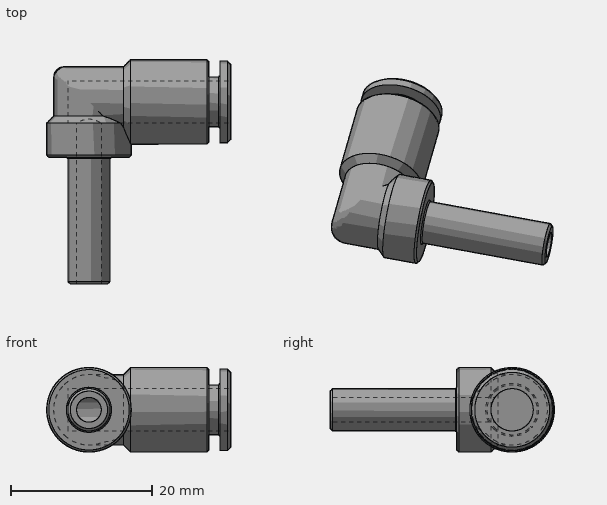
import cadquery as cq


elbow_radius = 5.0
elbow_corner_fillet = 1.5

body_radius = 6.0
shoulder_length = body_radius - elbow_radius
body_edge_chamfer = 0.3

socket_shoulder = 4.9
socket_end = 17.0
neck_radius = 3.55
root_chamfer = 0.2
ring_start = 18.55
ring_end = 20.1
ring_radius = 5.8
ring_chamfer = 0.5
socket_bore_radius = 3.0

collar_shoulder = 2.0
collar_end = 7.85
stem_radius = 3.0
stem_end = 25.8
stem_end_chamfer = 0.35
stem_bore_radius = 1.75


def revolve_about_x(outline):
    """Solid of revolution from (distance along X, radius) points."""
    profile = [(outline[0][0], 0)] + outline + [(outline[-1][0], 0)]
    return cq.Workplane("XY").polyline(profile).close().revolve(360, (0, 0, 0), (1, 0, 0))


def turn_to_stem(solid):
    """Swing a solid built along +X onto the -Y stem axis."""
    return solid.rotate((0, 0, 0), (0, 0, 1), -90)


def round_bar(radius, start, end):
    """Plain cylinder along X."""
    return revolve_about_x([(start, radius), (end, radius)])


def outer_corner(radius):
    """Outside of the mitre: the part common to both arms where X < 0 and Y > 0."""
    socket_quarter = round_bar(radius, -radius, 0)
    stem_quarter = turn_to_stem(socket_quarter)
    return socket_quarter.intersect(stem_quarter)


def shouldered_body(start, end):
    """Cone up from the elbow, then a cylinder with a chamfered end."""
    return [
        (start, elbow_radius),
        (start + shoulder_length, body_radius),
        (end - body_edge_chamfer, body_radius),
        (end, body_radius - body_edge_chamfer),
    ]


def socket_arm():
    """Socket body, narrow neck and release ring."""
    return revolve_about_x(shouldered_body(socket_shoulder, socket_end) + [
        (socket_end, neck_radius),
        (ring_start - root_chamfer, neck_radius),
        (ring_start, neck_radius + root_chamfer),
        (ring_start, ring_radius),
        (ring_end - ring_chamfer, ring_radius),
        (ring_end, ring_radius - ring_chamfer),
    ])


def stem_arm():
    """Collar and plug-in stem with a small conical root."""
    return turn_to_stem(revolve_about_x(shouldered_body(collar_shoulder, collar_end) + [
        (collar_end, stem_radius + root_chamfer),
        (collar_end + root_chamfer, stem_radius),
        (stem_end - stem_end_chamfer, stem_radius),
        (stem_end, stem_radius - stem_end_chamfer),
    ]))


def elbow():
    """Mitred elbow with its outer corner rounded, reaching the far end of both shoulders."""
    socket_bar = round_bar(elbow_radius, 0, socket_shoulder + shoulder_length)
    stem_bar = turn_to_stem(round_bar(elbow_radius, 0, collar_shoulder + shoulder_length))
    rounded_corner = outer_corner(elbow_radius).edges("%ELLIPSE").fillet(elbow_corner_fillet)
    return socket_bar.union(stem_bar).union(rounded_corner)


def bore():
    """Tube bore along the socket, ending just past the stem axis, met by the narrower stem bore."""
    socket_bore = round_bar(socket_bore_radius, -socket_bore_radius, ring_end)
    stem_bore = turn_to_stem(round_bar(stem_bore_radius, 0, stem_end))
    return socket_bore.union(stem_bore)


result = elbow().union(socket_arm()).union(stem_arm()).cut(bore())